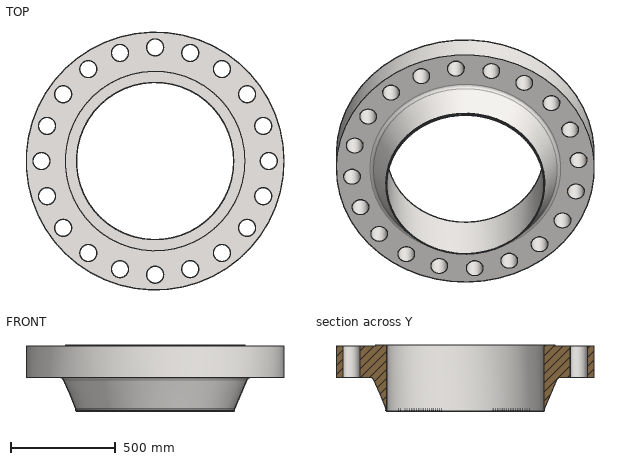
import cadquery as cq

flange_diameter = 1232.0
total_height = 318.0
flange_thickness = 152.0
bore_diameter = 749.0

face_diameter = 857.0
face_height = 5.0

neck_top_diameter = 887.0
neck_end_diameter = 760.0
neck_root_radius = 18.0
neck_end_height = 12.0
neck_end_bevel = 4.0

bolt_count = 20
bolt_circle_diameter = 1085.0
bolt_hole_diameter = 80.0

flange_top = total_height - face_height
flange_bottom = flange_top - flange_thickness


def flange_body():
    """Revolve the half section of the flange, neck and bore about Z."""
    bore_radius = bore_diameter / 2
    face_radius = face_diameter / 2
    flange_radius = flange_diameter / 2
    neck_top_radius = neck_top_diameter / 2
    neck_end_radius = neck_end_diameter / 2
    section = [
        (bore_radius, 0),
        (neck_end_radius - neck_end_bevel, 0),
        (neck_end_radius, neck_end_bevel),
        (neck_end_radius, neck_end_height),
        (neck_top_radius, flange_bottom),
        (flange_radius, flange_bottom),
        (flange_radius, flange_top),
        (face_radius, flange_top),
        (face_radius, total_height),
        (bore_radius, total_height),
    ]
    body = cq.Workplane("XZ").polyline(section).close().revolve(360, (0, 0), (0, 1))
    neck_root = cq.selectors.BoxSelector(
        (-neck_top_diameter, -neck_top_diameter, flange_bottom - neck_root_radius),
        (neck_top_diameter, neck_top_diameter, flange_bottom + neck_root_radius),
        boundingbox=True,
    )
    root_edge = body.edges("%CIRCLE").edges(neck_root).edges(cq.selectors.RadiusNthSelector(0))
    return root_edge.fillet(neck_root_radius)


def bolt_holes():
    """Through-hole cutters, evenly spaced with one on the X axis."""
    return (
        cq.Workplane("XY", origin=(0, 0, flange_bottom))
        .polarArray(bolt_circle_diameter / 2, 0, 360, bolt_count)
        .circle(bolt_hole_diameter / 2)
        .extrude(flange_thickness)
    )


result = flange_body().cut(bolt_holes())